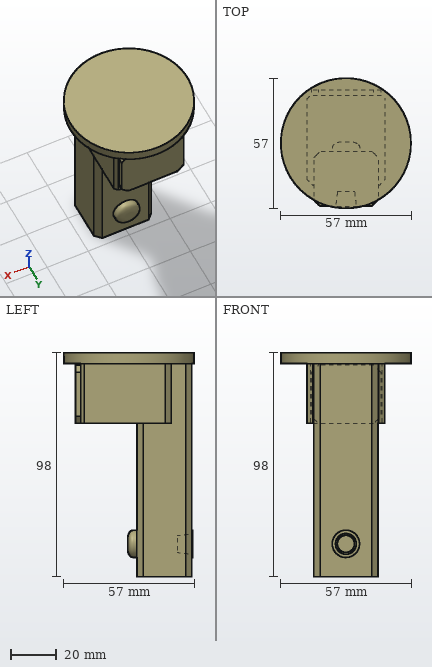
import cadquery as cq
import math

cap_diameter = 57.0
cap_thickness = 4.8
total_height = 98
cap_underside = total_height - cap_thickness

column_width = 28.1
column_front = -27.5
column_back = -3.4
column_chamfer = 2.7

block_width = 34.1
block_front = -18.4
block_back = 21.1
block_height = 26.1
block_front_chamfer = 2.6
block_back_chamfer = 1.5
block_bottom = cap_underside - block_height

pad_width = 30.4
pad_height = 25.5
pad_thickness = 2.4
pad_chamfer = 3.1

rivet_diameter = 12.0
rivet_height = 14.4
rivet_front = -27.9
rivet_back = 0.6
dome_height = 2.45
dome_flat_diameter = 4.9
socket_mouth_diameter = 9.1
socket_floor_diameter = 7.4
socket_depth = 6.9


def upright_box(width, front, back, bottom, top):
    """Box centred on X, spanning the given Y and Z ranges."""
    return cq.Workplane("XY").box(
        width, back - front, top - bottom, centered=(True, False, False)
    ).translate((0, front, bottom))


def make_cap():
    return (
        cq.Workplane("XY").workplane(offset=cap_underside)
        .circle(cap_diameter / 2).extrude(cap_thickness)
    )


def make_column():
    column = upright_box(column_width, column_front, column_back, 0, cap_underside)
    return column.edges("|Z").chamfer(column_chamfer)


def make_block():
    block = upright_box(block_width, block_front, block_back, block_bottom, cap_underside)
    block = block.faces("<Y").edges("|Z").chamfer(block_front_chamfer)
    return block.faces(">Y").edges("|Z").chamfer(block_back_chamfer)


def make_pad():
    pad = upright_box(
        pad_width, block_back, block_back + pad_thickness, block_bottom, block_bottom + pad_height
    )
    return pad.edges("|Y").chamfer(pad_chamfer)


def make_rivet():
    """Pin with a domed back end: a flat centre rounded off by a quarter ellipse."""
    radius = rivet_diameter / 2
    flat_radius = dome_flat_diameter / 2
    dome_start = rivet_back - dome_height
    halfway = math.sqrt(0.5)
    dome_middle = (
        flat_radius + (radius - flat_radius) * halfway,
        dome_start + dome_height * halfway,
    )
    profile = (
        cq.Workplane("XY")
        .moveTo(0, rivet_front)
        .lineTo(radius, rivet_front)
        .lineTo(radius, dome_start)
        .spline(
            [dome_middle, (flat_radius, rivet_back)],
            tangents=[(0, 1), (-1, 0)],
            includeCurrent=True,
        )
        .lineTo(0, rivet_back)
        .close()
    )
    rivet = profile.revolve(360, (0, 0, 0), (0, 1, 0))
    return rivet.translate((0, 0, rivet_height))


def make_socket():
    """Tapered blind hole in the front end of the rivet."""
    mouth_plane = cq.Plane((0, rivet_front, rivet_height), xDir=(1, 0, 0), normal=(0, 1, 0))
    return (
        cq.Workplane(mouth_plane).circle(socket_mouth_diameter / 2)
        .workplane(offset=socket_depth).circle(socket_floor_diameter / 2)
        .loft(ruled=True)
    )


body = make_cap().union(make_column()).union(make_block()).union(make_pad())
result = body.union(make_rivet()).cut(make_socket())